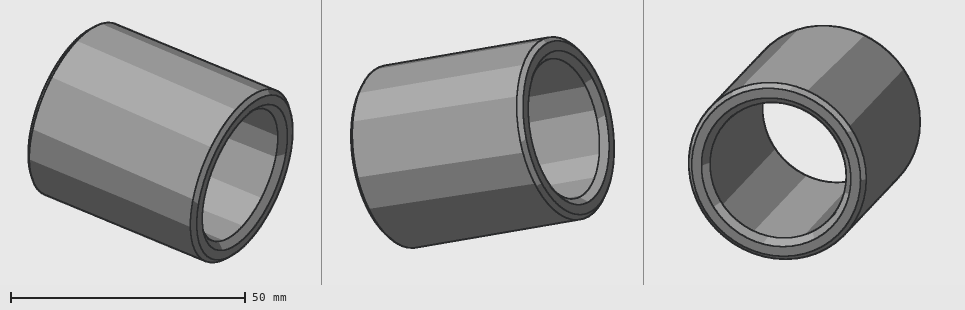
import cadquery as cq

length = 43.0
outer_diameter = 39.5
bore_diameter = 30.27

outer_chamfer = 1.0
bore_mouth_diameter = 33.25
bore_chamfer = (bore_mouth_diameter - bore_diameter) / 2


def make_body():
    """Solid cylinder along X with chamfered outer rims."""
    cylinder = cq.Workplane("YZ", origin=(-length / 2, 0, 0)).circle(outer_diameter / 2).extrude(length)
    return cylinder.faces("<X or >X").chamfer(outer_chamfer)


def make_bore():
    """Through bore that widens to a conical mouth at each end."""
    half_length = length / 2
    bore_radius = bore_diameter / 2
    mouth_radius = bore_mouth_diameter / 2
    cone_start = half_length - bore_chamfer
    profile = [
        (-half_length, 0),
        (-half_length, mouth_radius),
        (-cone_start, bore_radius),
        (cone_start, bore_radius),
        (half_length, mouth_radius),
        (half_length, 0),
    ]
    return cq.Workplane("XY").polyline(profile).close().revolve(360, (0, 0, 0), (1, 0, 0))


result = make_body().cut(make_bore())